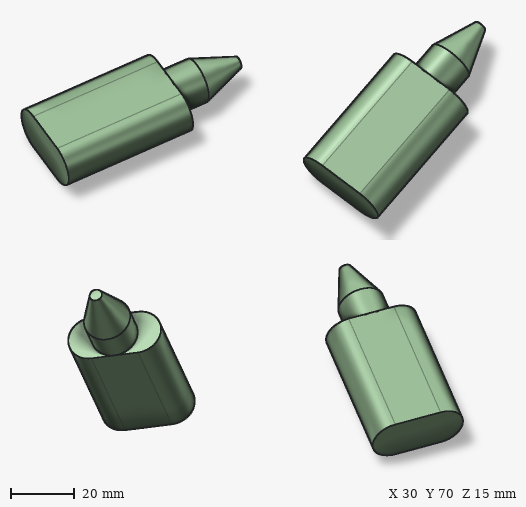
import cadquery as cq

total_length = 70.0
body_length = 45.0
cone_length = 15.0
body_width = 30.0
thickness = 15.0
tip_diameter = 4.0

neck_length = total_length - body_length - cone_length
neck_radius = thickness / 2
tip_radius = tip_diameter / 2


def make_body():
    """Bar with a rounded-end section, running along +Y from the XZ plane."""
    section = cq.Workplane("XZ").slot2D(body_width, thickness)
    return section.extrude(-body_length)


def make_nose():
    """Round neck and tapered, flat-ended tip, revolved about the Y axis."""
    neck_end = body_length + neck_length
    profile = (
        cq.Workplane("XY")
        .moveTo(0, body_length)
        .lineTo(neck_radius, body_length)
        .lineTo(neck_radius, neck_end)
        .lineTo(tip_radius, total_length)
        .lineTo(0, total_length)
        .close()
    )
    return profile.revolve(360, (0, 0, 0), (0, 1, 0))


result = make_body().union(make_nose())